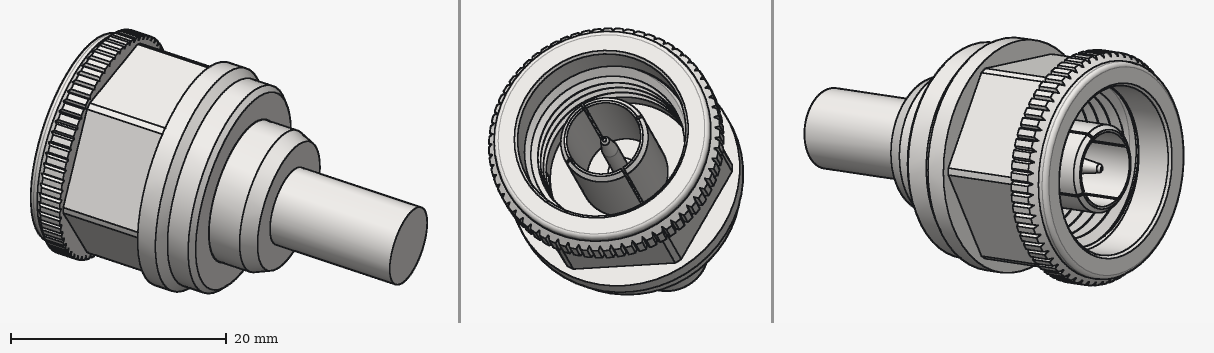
import cadquery as cq
import math

LENGTH = 34.38

KNURL_R = 10.9
FLANGE_R = KNURL_R
RIM_R = 20.4 / 2
RIM_ROUND = 0.45
RIM_END = 0.85
KNURL_START = RIM_END + (KNURL_R - RIM_R)
KNURL_END = 3.58
HEX_END = 11.72
FLANGE_END = 13.58
BACK_START = 14.45
BACK_R = 20.25 / 2
BACK_CHAMFER = 0.5
NUT_END = 17.12

HEX_FLATS = 17.95
HEX_CORNER_R = 10.18

GROOVE_COUNT = 65
GROOVE_DEPTH = 0.35
GROOVE_WIDTH = 0.4
GROOVE_START_ANGLE = 150.0

MOUTH_R = 16.4 / 2
ENTRY_R = 7.95
ENTRY_END = 3.78
BORE_R = 6.98
LEAD_IN_END = ENTRY_END + (ENTRY_R - BORE_R)

THREAD_PITCH = 1.4
THREAD_TURNS = 5
THREAD_START = 3.25
CREST_WIDTH = 0.1
THREAD_ROOT_R = 7.9
THREAD_HALF_ANGLE = 30.0
THREAD_BASE_OVERLAP = 0.07

FLOOR = 11.7
COLLAR_R = 13.85 / 2
COLLAR_END = 20.32
COLLAR_TIP_R = 6.3
COLLAR_TIP = 21.85
CABLE_R = 3.78

SLEEVE_R = 4.13
SLEEVE_BORE_R = 6.98 / 2
SLEEVE_FRONT = 1.25
SLEEVE_CHAMFER = 0.4
SLOT_WIDTH = 0.2
SLOT_COUNT = 4
SLOT_START_ANGLE = 60.0

PIN_R = 0.75
PIN_TIP_R = 0.4
PIN_END_R = 0.17
PIN_FRONT = 1.7
PIN_TAPER_START = 1.95
PIN_TAPER_END = 4.3
SHOULDER_R = 2.8 / 2
SHOULDER_FRONT = 11.0


def turned(points):
    """Revolve a closed (x, radius) outline about the X axis."""
    return cq.Workplane("XY").polyline(points).close().revolve(360, (0, 0, 0), (1, 0, 0))


def disc(radius, start, end):
    return cq.Workplane("YZ", origin=(start, 0, 0)).circle(radius).extrude(end - start)


def hexagon():
    across_corners = HEX_FLATS / math.cos(math.radians(30))
    prism = (
        cq.Workplane("YZ", origin=(KNURL_END, 0, 0))
        .polygon(6, across_corners)
        .extrude(HEX_END - KNURL_END)
    )
    return prism.intersect(disc(HEX_CORNER_R, KNURL_END, HEX_END))


def knurled_ring():
    ring = turned([
        (RIM_END, 0),
        (RIM_END, RIM_R),
        (KNURL_START, KNURL_R),
        (KNURL_END, KNURL_R),
        (KNURL_END, 0),
    ])
    root_r = KNURL_R - GROOVE_DEPTH
    top_r = KNURL_R + GROOVE_DEPTH
    groove = (
        cq.Workplane("YZ")
        .polyline([(root_r, 0), (top_r, GROOVE_WIDTH), (top_r, -GROOVE_WIDTH)])
        .close()
        .extrude(KNURL_END)
    )
    grooves = [
        groove.rotate((0, 0, 0), (1, 0, 0), GROOVE_START_ANGLE + i * 360 / GROOVE_COUNT).val()
        for i in range(GROOVE_COUNT)
    ]
    return ring.cut(cq.Workplane(cq.Compound.makeCompound(grooves)))


def nut_bore():
    return turned([
        (0, 0),
        (0, MOUTH_R),
        (MOUTH_R - ENTRY_R, ENTRY_R),
        (ENTRY_END, ENTRY_R),
        (LEAD_IN_END, BORE_R),
        (NUT_END, BORE_R),
        (NUT_END, 0),
    ])


def thread_groove():
    """Coil with a trapezoid section, whose base lies a little inside the bore wall."""
    slope = math.tan(math.radians(THREAD_HALF_ANGLE))
    base_r = BORE_R - THREAD_BASE_OVERLAP
    half_at_bore = (THREAD_PITCH - CREST_WIDTH) / 2
    half_at_base = half_at_bore + (BORE_R - base_r) * slope
    half_at_root = half_at_bore - (THREAD_ROOT_R - BORE_R) * slope
    path = cq.Wire.makeHelix(THREAD_PITCH, THREAD_PITCH * THREAD_TURNS, BORE_R)
    section = cq.Workplane("XZ").polyline([
        (base_r, -half_at_base),
        (THREAD_ROOT_R, -half_at_root),
        (THREAD_ROOT_R, half_at_root),
        (base_r, half_at_base),
    ]).close()
    coil = section.sweep(cq.Workplane(path), isFrenet=True)
    coil = coil.rotate((0, 0, 0), (0, 1, 0), 90).rotate((0, 0, 0), (1, 0, 0), 90)
    return coil.translate((THREAD_START, 0, 0))


def make_nut():
    rim = disc(RIM_R, 0, RIM_END).faces("<X").edges().fillet(RIM_ROUND)
    flange = turned([
        (HEX_END, 0),
        (HEX_END, FLANGE_R),
        (FLANGE_END, FLANGE_R),
        (BACK_START, BACK_R),
        (NUT_END - BACK_CHAMFER, BACK_R),
        (NUT_END, BACK_R - BACK_CHAMFER),
        (NUT_END, 0),
    ])
    outside = rim.union(knurled_ring()).union(hexagon()).union(flange)
    return outside.cut(nut_bore()).cut(thread_groove())


def sleeve():
    tube = disc(SLEEVE_R, SLEEVE_FRONT, FLOOR).faces("<X").edges().chamfer(SLEEVE_CHAMFER)
    tube = tube.cut(disc(SLEEVE_BORE_R, SLEEVE_FRONT, FLOOR))
    slot = cq.Workplane("XY").box(
        FLOOR - SLEEVE_FRONT, SLEEVE_R, SLOT_WIDTH, centered=(False, False, True)
    ).translate((SLEEVE_FRONT, 0, 0))
    for i in range(SLOT_COUNT):
        angle = SLOT_START_ANGLE + i * 360 / SLOT_COUNT
        tube = tube.cut(slot.rotate((0, 0, 0), (1, 0, 0), angle))
    return tube


def pin():
    return turned([
        (PIN_FRONT, 0),
        (PIN_FRONT, PIN_END_R),
        (PIN_TAPER_START, PIN_TIP_R),
        (PIN_TAPER_END, PIN_R),
        (SHOULDER_FRONT, PIN_R),
        (SHOULDER_FRONT, SHOULDER_R),
        (FLOOR, SHOULDER_R),
        (FLOOR, 0),
    ])


def make_body():
    shell = turned([
        (FLOOR, 0),
        (FLOOR, BORE_R),
        (NUT_END, BORE_R),
        (NUT_END, COLLAR_R),
        (COLLAR_END, COLLAR_R),
        (COLLAR_TIP, COLLAR_TIP_R),
        (COLLAR_TIP, CABLE_R),
        (LENGTH, CABLE_R),
        (LENGTH, 0),
    ])
    return shell.union(sleeve()).union(pin())


nut = make_nut()
body = make_body()
result = cq.Compound.makeCompound([nut.val(), body.val()])